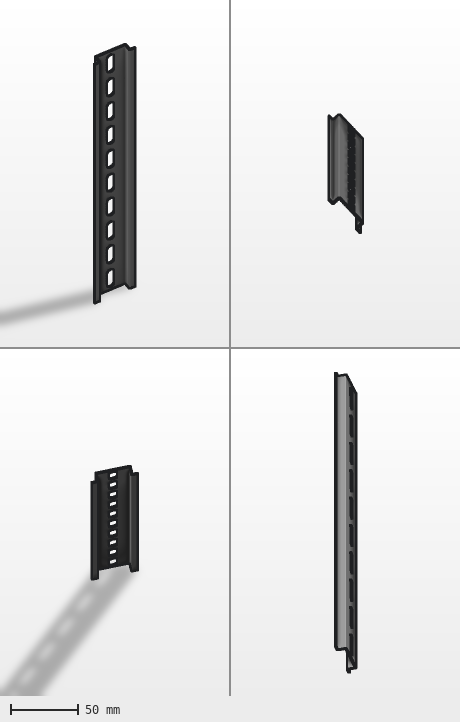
import cadquery as cq

rail_length = 250.0
rail_width = 35.0
rail_depth = 7.5
sheet = 1.0
channel_width = 27.0
inner_bend = 0.5
outer_bend = 1.0

slot_count = 10
slot_length = 18.0
slot_width = 6.2
slot_pitch = rail_length / slot_count
slot_drop = 0.5


def make_rail():
    """Extrude the hat section: web at low X, lips at high X."""
    half_rail = rail_width / 2
    half_channel = channel_width / 2
    half_inside = half_channel - sheet
    section = (
        cq.Workplane("XY")
        .moveTo(0, -half_channel)
        .lineTo(rail_depth - sheet, -half_channel)
        .lineTo(rail_depth - sheet, -half_rail)
        .lineTo(rail_depth, -half_rail)
        .lineTo(rail_depth, -half_inside)
        .lineTo(sheet, -half_inside)
        .lineTo(sheet, half_inside)
        .lineTo(rail_depth, half_inside)
        .lineTo(rail_depth, half_rail)
        .lineTo(rail_depth - sheet, half_rail)
        .lineTo(rail_depth - sheet, half_channel)
        .lineTo(0, half_channel)
        .close()
    )
    rail = section.extrude(rail_length)

    for side in (-1, 1):
        outside_y = side * half_channel
        inside_y = side * half_inside
        outer_corners = [(0, outside_y), (rail_depth, inside_y)]
        inner_corners = [(sheet, inside_y), (rail_depth - sheet, outside_y)]
        for corners, radius in ((outer_corners, outer_bend), (inner_corners, inner_bend)):
            for x, y in corners:
                edge = cq.selectors.NearestToPointSelector((x, y, rail_length / 2))
                rail = rail.edges("|Z").edges(edge).fillet(radius)
    return rail


def make_slots():
    """Upright round-ended cutters, one in the middle of each pitch."""
    return (
        cq.Workplane("YZ")
        .center(0, rail_length / 2 - slot_drop)
        .rarray(2.5, slot_pitch, 1, slot_count)
        .slot2D(slot_length, slot_width, 90)
        .extrude(rail_depth)
    )


result = make_rail().cut(make_slots())